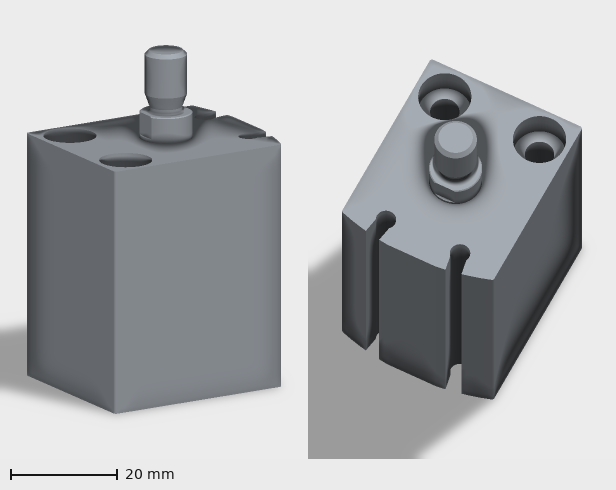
import cadquery as cq
import math

block_width = 32.0
front_depth = 21.0
back_depth = 18.0
block_height = 47.1
back_radius = 50.0
crown_cut = 0.25
edge_radius = 0.5

hole_spacing = 20.0
hole_from_axis = 15.0
hole_diameter = 5.5
counterbore_diameter = 10.0
counterbore_depth = 5.95

groove_diameter = 3.85
groove_x = 7.8
groove_y = 13.4
mouth_width = 3.15
mouth_angle = 10.0
mouth_length = 7.7

collar_diameter = 10.0
collar_height = 5.0
collar_chamfer = 0.2
flats_width = 9.0
flats_start = 0.65
neck_diameter = 6.2
neck_fillet = 0.4
neck_top = 6.0
stud_diameter = 8.0
stud_start = 8.5
stud_chamfer = 0.8
rod_height = 64.0 - block_height


def make_block():
    """Rectangular block with rounded corners and a crowned, flat-topped back."""
    half_width = block_width / 2
    apex_y = back_depth + crown_cut
    arc_center_y = apex_y - back_radius
    corner_y = arc_center_y + math.sqrt(back_radius**2 - half_width**2)
    crowned = (
        cq.Workplane("XY")
        .moveTo(-half_width, -front_depth)
        .lineTo(half_width, -front_depth)
        .lineTo(half_width, corner_y)
        .threePointArc((0, apex_y), (-half_width, corner_y))
        .close()
        .extrude(block_height)
        .edges("|Z")
        .fillet(edge_radius)
    )
    flat_limit = (
        cq.Workplane("XY")
        .box(block_width, front_depth + back_depth, block_height, centered=(True, False, False))
        .translate((0, -front_depth, 0))
    )
    return crowned.intersect(flat_limit)


def make_groove(side):
    """Cutter for one keyhole groove; side is -1 or 1 along X."""
    bore = cq.Workplane("XY").center(side * groove_x, groove_y).circle(groove_diameter / 2)
    mouth = (
        cq.Workplane("XY")
        .box(mouth_width, mouth_length, block_height, centered=(True, False, False))
        .rotate((0, 0, 0), (0, 0, 1), -side * mouth_angle)
        .translate((side * groove_x, groove_y, 0))
    )
    return bore.extrude(block_height).union(mouth)


def make_housing():
    """Block with its mounting holes and sensor grooves."""
    hole_centers = [(side * hole_spacing / 2, -hole_from_axis) for side in (-1, 1)]
    housing = (
        make_block()
        .faces(">Z")
        .workplane(origin=(0, 0, block_height))
        .pushPoints(hole_centers)
        .cboreHole(hole_diameter, counterbore_diameter, counterbore_depth)
    )
    for side in (-1, 1):
        housing = housing.cut(make_groove(side))
    return housing


def make_rod():
    """Turned rod: collar with wrench flats, undercut neck and chamfered stud."""
    collar_radius = collar_diameter / 2
    neck_radius = neck_diameter / 2
    stud_radius = stud_diameter / 2
    fillet_middle = neck_fillet * (1 - math.sqrt(0.5))
    rod = (
        cq.Workplane("XZ")
        .moveTo(0, 0)
        .lineTo(collar_radius, 0)
        .lineTo(collar_radius, collar_height - collar_chamfer)
        .lineTo(collar_radius - collar_chamfer, collar_height)
        .lineTo(neck_radius + neck_fillet, collar_height)
        .threePointArc(
            (neck_radius + fillet_middle, collar_height + fillet_middle),
            (neck_radius, collar_height + neck_fillet),
        )
        .lineTo(neck_radius, neck_top)
        .lineTo(stud_radius, stud_start)
        .lineTo(stud_radius, rod_height - stud_chamfer)
        .lineTo(stud_radius - stud_chamfer, rod_height)
        .lineTo(0, rod_height)
        .close()
        .revolve(360, (0, 0, 0), (0, 1, 0))
    )
    flat_height = collar_height - flats_start
    flat_depth = (collar_diameter - flats_width) / 2
    for side in (-1, 1):
        flat_cut = (
            cq.Workplane("XY")
            .box(collar_diameter, flat_depth, flat_height, centered=(True, True, False))
            .translate((0, side * (flats_width + flat_depth) / 2, flats_start))
        )
        rod = rod.cut(flat_cut)
    return rod.translate((0, 0, block_height))


housing = make_housing()
rod = make_rod()

result = cq.Compound.makeCompound([housing.solids().val(), rod.solids().val()])